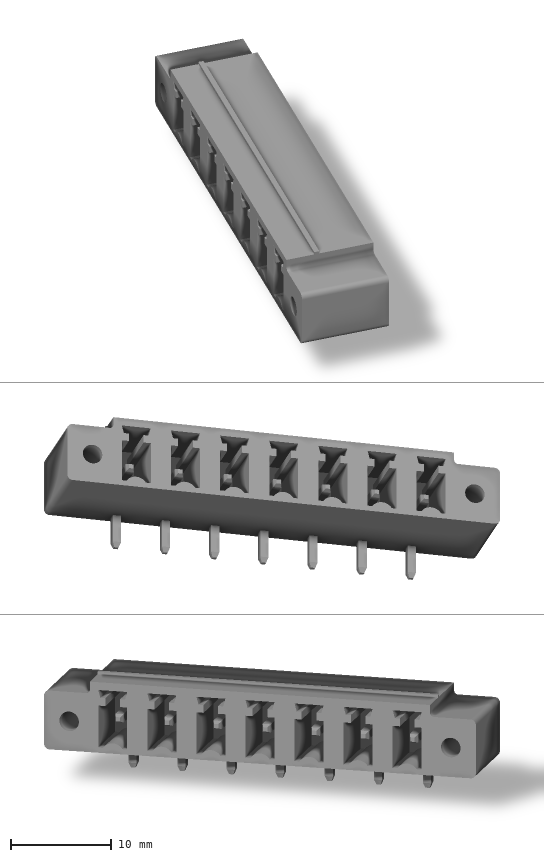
import cadquery as cq

length = 44.7
depth = 9.2
ear_height = 6.08
block_length = 35.2
block_height = 7.3
outer_radius = 0.55
step_radius = 0.4
front_y = -depth / 2

rib_width = 0.55
rib_height = 0.25
rib_setback = 2.95

screw_spacing = 39.5
screw_z = ear_height / 2
screw_hole_diameter = 2.0
insert_diameter = 4.0
screw_hole_depth = 6.5

contact_count = 7
contact_row_length = 30.45
contact_pitch = contact_row_length / (contact_count - 1)

cavity_width = 3.0
cavity_depth = 6.5
floor_z = 0.55
shoulder_z = 4.85
neck_top_z = 5.67
cavity_top_z = 6.5
neck_width = 1.5
dovetail_width = 2.55
bump_width = 2.0
bump_height = 0.55

pin_size = 0.85
pin_tip_size = 0.45
pin_tip_length = 0.55
pin_z = screw_z
pin_tip_setback = 2.0
pin_leg_setback = 1.2
pin_leg_length = 3.4


def make_housing():
    """Central block with a lower ear at each end, rounded along Y."""
    ears = (
        cq.Workplane("XY")
        .box(length, depth, ear_height, centered=(True, True, False))
        .edges("|Y")
        .fillet(outer_radius)
    )
    block = cq.Workplane("XY").box(block_length, depth, block_height, centered=(True, True, False))
    housing = ears.union(block)
    for side in (-1, 1):
        inner_edge = side * block_length / 2
        corner = cq.selectors.BoxSelector(
            (inner_edge - step_radius, -depth, ear_height - step_radius),
            (inner_edge + step_radius, depth, ear_height + step_radius),
        )
        housing = housing.edges("|Y").edges(corner).fillet(step_radius)
    return housing


def make_rib():
    """Low straight rib along the whole top of the block."""
    rib_y = front_y + rib_setback + rib_width / 2
    return (
        cq.Workplane("XY", origin=(0, rib_y, block_height))
        .box(block_length, rib_width, rib_height, centered=(True, True, False))
    )


def make_cavity(x):
    """Keyed cavity open to the front, with a rounded bump along its floor."""
    half = cavity_width / 2
    half_neck = neck_width / 2
    half_dovetail = dovetail_width / 2
    half_bump = bump_width / 2
    return (
        cq.Workplane("XZ", origin=(x, front_y, 0))
        .moveTo(-half_bump, floor_z)
        .threePointArc((0, floor_z + bump_height), (half_bump, floor_z))
        .lineTo(half, floor_z)
        .lineTo(half, shoulder_z)
        .lineTo(half_neck, shoulder_z)
        .lineTo(half_neck, neck_top_z)
        .lineTo(half_dovetail, neck_top_z)
        .lineTo(half, cavity_top_z)
        .lineTo(-half, cavity_top_z)
        .lineTo(-half_dovetail, neck_top_z)
        .lineTo(-half_neck, neck_top_z)
        .lineTo(-half_neck, shoulder_z)
        .lineTo(-half, shoulder_z)
        .lineTo(-half, floor_z)
        .close()
        .extrude(-cavity_depth)
    )


def make_pin_arm(start, direction, arm_length):
    """Square bar from start along direction, ending in a tapered tip."""
    plane = cq.Plane(origin=start, xDir=(1, 0, 0), normal=direction)
    shaft_length = arm_length - pin_tip_length
    shaft = cq.Workplane(plane).rect(pin_size, pin_size).extrude(shaft_length)
    tip = (
        shaft.faces(cq.selectors.DirectionMinMaxSelector(cq.Vector(*direction)))
        .workplane()
        .rect(pin_size, pin_size)
        .workplane(offset=pin_tip_length)
        .rect(pin_tip_size, pin_tip_size)
        .loft(combine=False)
    )
    return shaft.union(tip)


def make_pin(x):
    """Contact arm toward the front and solder leg downward, meeting inside the housing."""
    leg_y = depth / 2 - pin_leg_setback
    bend = (x, leg_y, pin_z)
    arm = make_pin_arm(bend, (0, -1, 0), leg_y - front_y - pin_tip_setback)
    leg = make_pin_arm(bend, (0, 0, -1), pin_z + pin_leg_length)
    return arm.union(leg)


def make_front_cylinder(x, diameter):
    """Blind cylinder running inward from the front face of an ear."""
    return cq.Workplane("XZ", origin=(x, front_y, screw_z)).circle(diameter / 2).extrude(-screw_hole_depth)


result = make_housing().union(make_rib())

for index in range(contact_count):
    contact_x = -contact_row_length / 2 + index * contact_pitch
    result = result.cut(make_cavity(contact_x)).union(make_pin(contact_x))

for screw_x in (-screw_spacing / 2, screw_spacing / 2):
    insert = make_front_cylinder(screw_x, insert_diameter)
    result = result.cut(insert, clean=False).union(insert, clean=False)
    result = result.cut(make_front_cylinder(screw_x, screw_hole_diameter), clean=False)